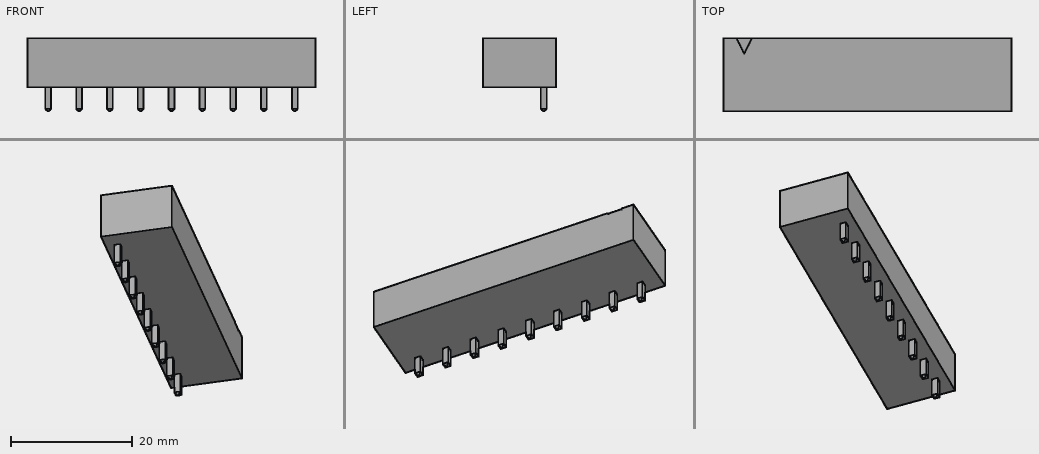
import cadquery as cq

housing_length = 47.55
housing_width = 12.1
housing_height = 8.15

mark_width = 2.55
mark_length = 2.55
mark_depth = 0.15

pin_count = 9
pin_row_span = 40.65
pin_side = 1.0
shank_length = 3.5
tip_height = 0.4
tip_side = 0.2
pin_row_inset = 2.05

pin_pitch = pin_row_span / (pin_count - 1)
first_pin_x = -pin_row_span / 2
pin_row_y = -housing_width / 2 + pin_row_inset


def make_housing():
    """Block with the triangular mark above the first pin."""
    block = cq.Workplane("XY").box(
        housing_length, housing_width, housing_height, centered=(True, True, False)
    )
    back_y = housing_width / 2
    mark = (
        cq.Workplane("XY", origin=(first_pin_x, back_y, housing_height - mark_depth))
        .moveTo(-mark_width / 2, 0)
        .lineTo(mark_width / 2, 0)
        .lineTo(0, -mark_length)
        .close()
        .extrude(mark_depth)
    )
    return block.cut(mark)


def make_pin(x):
    """Square pin hanging below the housing, with a tapered tip."""
    shank = (
        cq.Workplane("XY", origin=(x, pin_row_y, 0))
        .rect(pin_side, pin_side)
        .extrude(-shank_length)
    )
    tip = (
        cq.Workplane("XY", origin=(x, pin_row_y, -shank_length))
        .rect(pin_side, pin_side)
        .workplane(offset=-tip_height)
        .rect(tip_side, tip_side)
        .loft(ruled=True)
    )
    return shank.union(tip)


housing = make_housing()
pins = [make_pin(first_pin_x + i * pin_pitch) for i in range(pin_count)]

result = cq.Compound.makeCompound([housing.val(), *[pin.val() for pin in pins]])